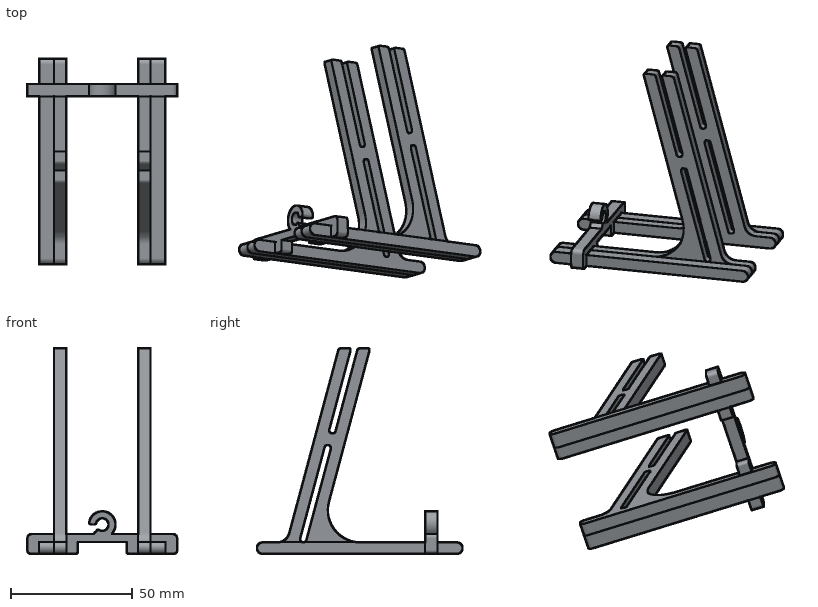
import cadquery as cq
import math

LENGTH = 85.0
HEIGHT = 85.0
BASE_HEIGHT = 4.85
STAND_INNER_X = 14.8
STAND_WIDTH = 5.2
RAIL_WIDTH = 6.1
STAND_OUTER_X = STAND_INNER_X + STAND_WIDTH
RAIL_OUTER_X = STAND_OUTER_X + RAIL_WIDTH

LEAN = math.radians(15)
PRONG_WIDTH = 5.0
SLOT_WIDTH = 2.55
BACK_TOP_Y = 4.3
UPPER_SLOT_BOTTOM = 49.8
LOWER_SLOT_TOP = 45.0
REAR_FILLET = 13.3
FRONT_FILLET = 5.0
TIP_SETBACK = 1.0
BACK_WIDTH = (2 * PRONG_WIDTH + SLOT_WIDTH) / math.cos(LEAN)

BAR_LENGTH = 62.0
BAR_THICKNESS = 5.2
BAR_FRONT_Y = 26.95
BAR_TOP = 8.3
BAR_FOOT_INNER_X = 10.0
BAR_TOP_ROUND = 1.95
BAR_FOOT_ROUND = 1.5
BAR_INNER_FOOT_ROUND = 1.0
BAR_POCKET_ROUND = 0.5
HOOK_CENTER_Z = 12.15
HOOK_OUTER_RADIUS = 5.5
HOOK_INNER_RADIUS = 2.55
HOOK_TIP_ROUND = 0.9
HOOK_ROOT_ROUND = 0.4
HOOK_ROOT_ANGLE = math.radians(227)


def base_beam(start_x, width):
    """Beam along Y with fully rounded ends."""
    return (
        cq.Workplane("YZ", origin=(start_x, 0, 0))
        .center(0, BASE_HEIGHT / 2)
        .slot2D(LENGTH, BASE_HEIGHT)
        .extrude(width)
    )


def back_y(height, offset):
    """Y on the sloping back, at a distance along -Y from its rear face."""
    return BACK_TOP_Y - offset - (HEIGHT - height) * math.tan(LEAN)


def sloping_back():
    """Leaning slab, filleted into the base and split by two slots."""
    floor = BASE_HEIGHT
    half_acute = (math.pi / 2 - LEAN) / 2
    rear_reach = REAR_FILLET / math.tan(half_acute)
    front_reach = FRONT_FILLET * math.tan(half_acute)
    rear_foot = back_y(floor, 0)
    front_foot = back_y(floor, BACK_WIDTH)

    rear_tangent_z = floor + rear_reach * math.cos(LEAN)
    front_tangent_z = floor + front_reach * math.cos(LEAN)
    rear_center = (rear_foot + rear_reach, floor + REAR_FILLET)
    front_center = (front_foot - front_reach, floor + FRONT_FILLET)
    rear_mid = arc_middle(rear_center, REAR_FILLET, (rear_foot, floor))
    front_mid = arc_middle(front_center, FRONT_FILLET, (front_foot, floor))

    slab = (
        cq.Workplane("YZ")
        .moveTo(rear_foot + rear_reach, 0)
        .lineTo(rear_foot + rear_reach, floor)
        .threePointArc(rear_mid, (back_y(rear_tangent_z, 0), rear_tangent_z))
        .lineTo(BACK_TOP_Y, HEIGHT)
        .lineTo(BACK_TOP_Y - BACK_WIDTH, HEIGHT)
        .lineTo(back_y(front_tangent_z, BACK_WIDTH), front_tangent_z)
        .threePointArc(front_mid, (front_foot - front_reach, floor))
        .lineTo(front_foot - front_reach, 0)
        .close()
        .extrude(STAND_WIDTH)
    )
    upper_slot = slot_cutter(UPPER_SLOT_BOTTOM, HEIGHT + 2 * SLOT_WIDTH)
    lower_slot = slot_cutter(BASE_HEIGHT, LOWER_SLOT_TOP)
    return round_prong_tips(slab.cut(upper_slot).cut(lower_slot))


def arc_middle(center, radius, corner):
    """Middle of a fillet arc: the point of its circle nearest the sharp corner."""
    dy = corner[0] - center[0]
    dz = corner[1] - center[1]
    distance = math.hypot(dy, dz)
    return (center[0] + radius * dy / distance, center[1] + radius * dz / distance)


def slot_cutter(bottom, top):
    """Round-ended slot along the middle of the back, between two heights."""
    middle_z = (bottom + top) / 2
    length = (top - bottom - SLOT_WIDTH) / math.cos(LEAN) + SLOT_WIDTH
    return (
        cq.Workplane("YZ")
        .center(back_y(middle_z, BACK_WIDTH / 2), middle_z)
        .slot2D(length, SLOT_WIDTH, 90 - math.degrees(LEAN))
        .extrude(STAND_WIDTH)
    )


def round_prong_tips(back):
    """Round the four top corners, each round starting at the same setback."""
    half_acute = (math.pi / 2 - LEAN) / 2
    acute_round = TIP_SETBACK * math.tan(half_acute)
    obtuse_round = TIP_SETBACK / math.tan(half_acute)
    for index, radius in enumerate([obtuse_round, acute_round, obtuse_round, acute_round]):
        edge = sorted(back.faces(">Z").edges("|X").vals(), key=lambda e: e.Center().y)[index]
        back = back.newObject([edge]).fillet(radius)
    return back


def stand(start_x):
    back = sloping_back().translate((start_x, 0, 0))
    return base_beam(start_x, STAND_WIDTH).union(back)


def rail(start_x):
    return base_beam(start_x, RAIL_WIDTH)


def extrude_bar(sketch):
    """Extrude an XZ outline through the thickness of the crossbar."""
    return sketch.extrude(-BAR_THICKNESS).translate((0, BAR_FRONT_Y, 0))


def round_at(body, x, z, radius):
    """Fillet the edges along Y at +x and -x, at height z."""
    margin = 0.01
    for side in (-1, 1):
        box = cq.selectors.BoxSelector(
            (side * x - margin, BAR_FRONT_Y - margin, z - margin),
            (side * x + margin, BAR_FRONT_Y + BAR_THICKNESS + margin, z + margin),
        )
        body = body.edges("|Y").edges(box).fillet(radius)
    return body


def bridge():
    """Straight bar whose two pockets each fit over a rail and a stand."""
    half = BAR_LENGTH / 2
    bar = extrude_bar(cq.Workplane("XZ").rect(BAR_LENGTH, 2 * BAR_TOP))
    openings = [
        (-half, half, -BAR_TOP, 0),
        (-BAR_FOOT_INNER_X, BAR_FOOT_INNER_X, 0, BASE_HEIGHT),
        (STAND_INNER_X, RAIL_OUTER_X, 0, BASE_HEIGHT),
        (-RAIL_OUTER_X, -STAND_INNER_X, 0, BASE_HEIGHT),
    ]
    for left, right, bottom, top in openings:
        opening = cq.Workplane("XZ").center((left + right) / 2, (bottom + top) / 2)
        bar = bar.cut(extrude_bar(opening.rect(right - left, top - bottom)))
    bar = round_at(bar, half, BAR_TOP, BAR_TOP_ROUND)
    bar = round_at(bar, half, 0, BAR_FOOT_ROUND)
    bar = round_at(bar, BAR_FOOT_INNER_X, 0, BAR_INNER_FOOT_ROUND)
    for pocket_x in (STAND_INNER_X, RAIL_OUTER_X):
        bar = round_at(bar, pocket_x, 0, BAR_POCKET_ROUND)
    return bar


def hook():
    """Open ring, from a radial root face round to a horizontal tip on the -X side."""
    def ring_point(radius, angle):
        return (radius * math.cos(angle), HOOK_CENTER_Z + radius * math.sin(angle))

    ring = extrude_bar(
        cq.Workplane("XZ")
        .moveTo(-HOOK_OUTER_RADIUS, HOOK_CENTER_Z)
        .threePointArc(
            ring_point(HOOK_OUTER_RADIUS, math.pi / 4),
            ring_point(HOOK_OUTER_RADIUS, HOOK_ROOT_ANGLE),
        )
        .lineTo(*ring_point(HOOK_INNER_RADIUS, HOOK_ROOT_ANGLE))
        .threePointArc(ring_point(HOOK_INNER_RADIUS, math.pi / 4), (-HOOK_INNER_RADIUS, HOOK_CENTER_Z))
        .close()
    )
    root_x, root_z = ring_point(HOOK_INNER_RADIUS, HOOK_ROOT_ANGLE)
    root = (root_x, BAR_FRONT_Y + BAR_THICKNESS / 2, root_z)
    ring = ring.edges("|Y").edges(cq.NearestToPointSelector(root)).fillet(HOOK_ROOT_ROUND)
    for radius in (HOOK_OUTER_RADIUS, HOOK_INNER_RADIUS):
        tip = (-radius, BAR_FRONT_Y + BAR_THICKNESS / 2, HOOK_CENTER_Z)
        ring = ring.edges("|Y").edges(cq.NearestToPointSelector(tip)).fillet(HOOK_TIP_ROUND)
    below = cq.Workplane("XZ").center(0, BASE_HEIGHT / 2).rect(BAR_LENGTH, BASE_HEIGHT)
    return ring.cut(extrude_bar(below))


crossbar = bridge().union(hook())
rails = [rail(x).val() for x in (-RAIL_OUTER_X, STAND_OUTER_X)]
stands = [stand(x).val() for x in (-STAND_OUTER_X, STAND_INNER_X)]

result = cq.Compound.makeCompound([crossbar.val(), *rails, *stands])